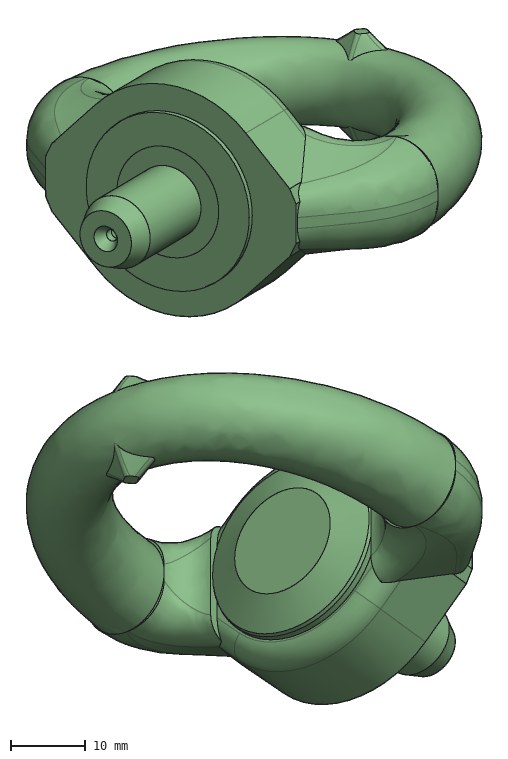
import cadquery as cq
import math

total_length = 74.4

stud_diameter = 10.2
collar_diameter = 15.6
stud_tip_y = -17.6
stud_tip_radius = 3.95
stud_tip_length = 3.05
center_hole_radius = 1.8
pilot_diameter = 1.6
pilot_depth = 3.0
center_hole_angle = 60.0
pilot_point_angle = 118.0

sleeve_diameter = 25.0
sleeve_projection = 0.8
cap_diameter = 26.0
cap_rim_y = 14.3
cap_edge_y = 14.8
cap_edge_radius = 12.8
cap_top_y = 16.75

block_radius = 16.3
block_height = 13.3
block_fillet = 3.0
nose_x = 19.2
nose_half_width = 2.8
nose_corner_x = 18.2

seam_y = 19.3
eye_width = 60.2
eye_outer_x = eye_width / 2
eye_inner_x = 17.55
arm_outer_radius = 19.35
arm_inner_radius = 4.5
arm_outer_flat = 1.55
arm_seam_inner_fillet = 5.9
arm_root_inner_fillet = 3.0
arm_root_outer_half_height = 3.4
arm_root_inner_half_height = 10.05
arm_section_count = 7

eye_top_y = total_length + stud_tip_y
eye_inner_top_y = 46.4
eye_half_height_seam = 7.15
eye_half_height_top = 5.9
eye_section_count = 13

stud_center_y = 51.7
pyramid_top_z = 7.8
pyramid_top_half_diagonal = 1.35
pyramid_base_z = 3.7
pyramid_base_half_x = 7.7
pyramid_base_half_y = 3.95
pyramid_edge_fillet = 0.75


def revolve_about_y(profile):
    """Revolve an XY profile, closed along the Y axis, through a full turn about Y."""
    return profile.close().revolve(360, (0, 0, 0), (0, 1, 0))


def make_pin():
    stud_radius = stud_diameter / 2
    collar_radius = collar_diameter / 2
    pin = revolve_about_y(
        cq.Workplane("XY")
        .moveTo(0, stud_tip_y)
        .lineTo(stud_tip_radius, stud_tip_y)
        .lineTo(stud_radius, stud_tip_y + stud_tip_length)
        .lineTo(stud_radius, -sleeve_projection)
        .lineTo(collar_radius, -sleeve_projection)
        .lineTo(collar_radius, cap_top_y)
        .lineTo(0, cap_top_y)
    )
    return pin.cut(make_center_hole())


def make_center_hole():
    """Center-drilled hole in the tip: a cone, then a small pilot with a pointed end."""
    pilot_radius = pilot_diameter / 2
    cone_depth = (center_hole_radius - pilot_radius) / math.tan(math.radians(center_hole_angle / 2))
    point_length = pilot_radius / math.tan(math.radians(pilot_point_angle / 2))
    pilot_end_y = stud_tip_y + pilot_depth
    return revolve_about_y(
        cq.Workplane("XY")
        .moveTo(0, stud_tip_y)
        .lineTo(center_hole_radius, stud_tip_y)
        .lineTo(pilot_radius, stud_tip_y + cone_depth)
        .lineTo(pilot_radius, pilot_end_y)
        .lineTo(0, pilot_end_y + point_length)
    )


def make_bushing_blank():
    """Bushing without its bore; it also serves as the cutter for the housing."""
    sleeve_radius = sleeve_diameter / 2
    cap_radius = cap_diameter / 2
    return revolve_about_y(
        cq.Workplane("XY")
        .moveTo(0, -sleeve_projection)
        .lineTo(sleeve_radius, -sleeve_projection)
        .lineTo(sleeve_radius, block_height)
        .lineTo(cap_radius, block_height)
        .lineTo(cap_radius, cap_rim_y)
        .lineTo(cap_edge_radius, cap_edge_y)
        .lineTo(collar_diameter / 2, cap_top_y)
        .lineTo(0, cap_top_y)
    )


def make_bushing():
    bore = cq.Workplane("XZ", origin=(0, cap_top_y, 0)).circle(collar_diameter / 2)
    return make_bushing_blank().cut(bore.extrude(cap_top_y + sleeve_projection))


def make_block():
    """Round block whose flanks leave the circle at 45 degrees and run out to the noses."""
    tangent = block_radius / math.sqrt(2)
    nose_corner_z = 2 * tangent - nose_corner_x
    block = (
        cq.Workplane("XZ")
        .moveTo(-tangent, tangent)
        .threePointArc((0, block_radius), (tangent, tangent))
        .lineTo(nose_corner_x, nose_corner_z)
        .lineTo(nose_x, nose_half_width)
        .lineTo(nose_x, -nose_half_width)
        .lineTo(nose_corner_x, -nose_corner_z)
        .lineTo(tangent, -tangent)
        .threePointArc((0, -block_radius), (-tangent, -tangent))
        .lineTo(-nose_corner_x, -nose_corner_z)
        .lineTo(-nose_x, -nose_half_width)
        .lineTo(-nose_x, nose_half_width)
        .lineTo(-nose_corner_x, nose_corner_z)
        .close()
        .extrude(-block_height)
    )
    return block.faces(">Y").edges().fillet(block_fillet)


def arm_reach(angle):
    """Distance from the inner bend center to the outer contour, at an angle below the seam.

    The outer contour is an arc, then its tangent at 45 degrees.
    """
    center_shift = (eye_inner_x - arm_inner_radius) - (eye_outer_x - arm_outer_radius)
    along = center_shift * math.cos(angle)
    arc_reach = math.sqrt(arm_outer_radius**2 - center_shift**2 + along**2) - along
    if arc_reach * math.sin(angle) <= arm_outer_radius * math.sin(math.pi / 4):
        return arc_reach
    tangent_distance = arm_outer_radius - center_shift * math.cos(math.pi / 4)
    return tangent_distance / math.cos(angle - math.pi / 4)


def arm_section(angle):
    """Rounded trapezoid across the arm, thicker at the inner edge as it nears the block."""
    reach = arm_reach(angle)
    bend = math.sin(angle)
    outer_half_height = eye_half_height_seam + (arm_root_outer_half_height - eye_half_height_seam) * bend
    inner_half_height = eye_half_height_seam + (arm_root_inner_half_height - eye_half_height_seam) * bend
    slope = math.atan2(inner_half_height - outer_half_height, reach - arm_inner_radius)
    outer_fillet = (outer_half_height - arm_outer_flat / 2) / math.tan(math.pi / 4 - slope / 2)
    inner_fillet = arm_seam_inner_fillet + (arm_root_inner_fillet - arm_seam_inner_fillet) * bend

    plane = cq.Plane(
        origin=(eye_inner_x - arm_inner_radius, seam_y, 0),
        xDir=(math.cos(angle), -math.sin(angle), 0),
        normal=(math.sin(angle), math.cos(angle), 0),
    )
    outer_step = outer_fillet * math.tan(math.pi / 4 - slope / 2)
    inner_step = inner_fillet * math.tan(math.pi / 4 + slope / 2)
    diagonal = (math.cos(slope), math.sin(slope))

    outer_start = (reach, outer_half_height - outer_step)
    outer_end = (reach - outer_step * diagonal[0], outer_half_height + outer_step * diagonal[1])
    inner_start = (
        arm_inner_radius + inner_step * diagonal[0],
        inner_half_height - inner_step * diagonal[1],
    )
    inner_end = (arm_inner_radius, inner_half_height - inner_step)

    def below(point):
        return (point[0], -point[1])

    return (
        cq.Workplane(plane)
        .moveTo(*below(outer_start))
        .lineTo(*outer_start)
        .tangentArcPoint(outer_end, relative=False)
        .lineTo(*inner_start)
        .tangentArcPoint(inner_end, relative=False)
        .lineTo(*below(inner_end))
        .tangentArcPoint(below(inner_start), relative=False)
        .lineTo(*below(outer_end))
        .tangentArcPoint(below(outer_start), relative=False)
        .close()
        .val()
    )


def make_arm():
    """Arm on the +X side, lofted around its inner bend and trimmed at the seating face."""
    quarter_turn = math.pi / 2
    steps = arm_section_count - 1
    sections = [arm_section(quarter_turn * index / steps) for index in range(arm_section_count)]
    arm = cq.Workplane(cq.Solid.makeLoft(sections))
    below_seat = cq.Workplane("XZ").rect(2 * eye_width, eye_width).extrude(eye_width)
    return arm.cut(below_seat)


def make_eye():
    """Arch lofted through elliptical sections between the outer and inner half ellipses."""
    sections = []
    for index in range(eye_section_count):
        angle = math.pi * index / (eye_section_count - 1)
        outer = cq.Vector(
            eye_outer_x * math.cos(angle),
            seam_y + (eye_top_y - seam_y) * math.sin(angle),
        )
        inner = cq.Vector(
            eye_inner_x * math.cos(angle),
            seam_y + (eye_inner_top_y - seam_y) * math.sin(angle),
        )
        across = outer - inner
        half_height = eye_half_height_seam + (eye_half_height_top - eye_half_height_seam) * math.sin(angle)
        plane = cq.Plane(
            origin=(outer + inner) * 0.5,
            xDir=across,
            normal=cq.Vector(0, 0, 1).cross(across),
        )
        section = cq.Workplane(plane).ellipse(across.Length / 2, half_height)
        sections.append(section.val())
    return cq.Workplane(cq.Solid.makeLoft(sections))


def make_pyramid():
    """Blunt four-sided pyramid rising from the +Z face of the crown."""
    diamonds = []
    for half_x, half_y, z in (
        (pyramid_base_half_x, pyramid_base_half_y, pyramid_base_z),
        (pyramid_top_half_diagonal, pyramid_top_half_diagonal, pyramid_top_z),
    ):
        corners = [(half_x, 0), (0, half_y), (-half_x, 0), (0, -half_y)]
        diamonds.append(
            cq.Workplane("XY", origin=(0, stud_center_y, z)).polyline(corners).close().val()
        )
    pyramid = cq.Workplane(cq.Solid.makeLoft(diamonds, True))
    return pyramid.edges("not(#Z)").fillet(pyramid_edge_fillet)


def make_housing():
    arm = make_arm()
    pyramid = make_pyramid()
    housing = (
        make_block()
        .union(arm)
        .union(arm.mirror("YZ"))
        .union(make_eye())
        .union(pyramid)
        .union(pyramid.mirror("XY"))
    )
    return housing.cut(make_bushing_blank())


housing = make_housing()
bushing = make_bushing()
pin = make_pin()

result = cq.Compound.makeCompound([housing.val(), bushing.val(), pin.val()])